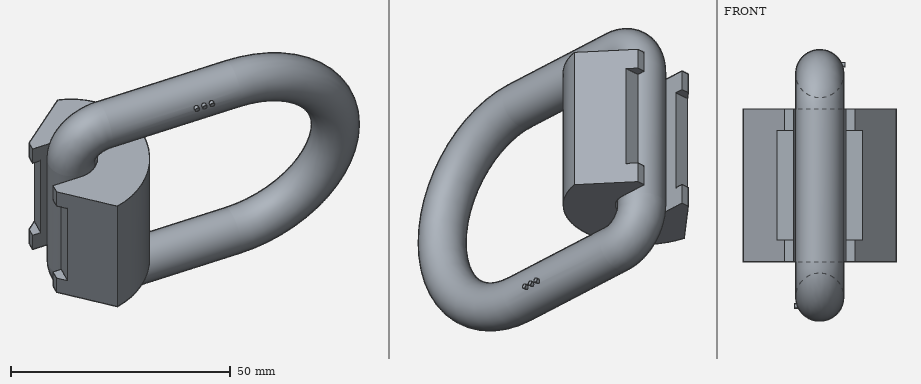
import cadquery as cq
import math


OVERALL_LENGTH = 78.0
LINK_WIDTH = 62.0
BLOCK_SIZE = 34.95

ROD_DIAMETER = 11.0
ROD_RADIUS = ROD_DIAMETER / 2
LEG_OFFSET = (LINK_WIDTH - ROD_DIAMETER) / 2
CORNER_RADIUS = LEG_OFFSET - BLOCK_SIZE / 2

AXIS_HEIGHT = 7.0
OUTER_RADIUS = 17.95
BORE_RADIUS = 6.0
FOOT_HALF_WIDTH = 8.0
RELIEF_LENGTH = 25.0
RELIEF_DEPTH = 2.0

DOT_DIAMETER = 1.1
DOT_PITCH = 1.9
DOT_COUNT = 3
DOT_TOP = 5.8
DOT_LEG_OFFSET = 2.0
DOT_ROW_CENTRE = 30.7

BASE_Y = -AXIS_HEIGHT
LOOP_CENTRE_Y = OVERALL_LENGTH - AXIS_HEIGHT - LINK_WIDTH / 2


def marking_dots(side):
    """Row of raised dots on one leg; side +1 is the +X/+Z leg, -1 the -X/-Z leg."""
    row_z = side * (LEG_OFFSET + DOT_LEG_OFFSET)
    centres = [
        (DOT_ROW_CENTRE + (i - (DOT_COUNT - 1) / 2) * DOT_PITCH, row_z)
        for i in range(DOT_COUNT)
    ]
    return cq.Workplane("YZ").pushPoints(centres).circle(DOT_DIAMETER / 2).extrude(side * DOT_TOP)


def make_link():
    """Closed D-shaped ring of round rod with its dots."""
    hinge_half = LEG_OFFSET - CORNER_RADIUS
    diagonal = CORNER_RADIUS * math.sqrt(0.5)
    corner_mid = (CORNER_RADIUS - diagonal, hinge_half + diagonal)
    centreline = (
        cq.Workplane("YZ")
        .moveTo(0, -hinge_half)
        .lineTo(0, hinge_half)
        .threePointArc(corner_mid, (CORNER_RADIUS, LEG_OFFSET))
        .lineTo(LOOP_CENTRE_Y, LEG_OFFSET)
        .threePointArc((LOOP_CENTRE_Y + LEG_OFFSET, 0), (LOOP_CENTRE_Y, -LEG_OFFSET))
        .lineTo(CORNER_RADIUS, -LEG_OFFSET)
        .threePointArc((corner_mid[0], -corner_mid[1]), (0, -hinge_half))
        .close()
    )
    ring = cq.Workplane("XY", origin=(0, 0, -hinge_half)).circle(ROD_RADIUS).sweep(centreline)
    for side in (1, -1):
        ring = ring.union(marking_dots(side))
    return ring


def make_block():
    """Weld-on block: rounded back, tapered flanks, rod channel and base relief."""
    half_width = BLOCK_SIZE / 2
    shoulder_y = math.sqrt(OUTER_RADIUS**2 - half_width**2)
    body = (
        cq.Workplane("XY")
        .moveTo(-FOOT_HALF_WIDTH, BASE_Y)
        .lineTo(FOOT_HALF_WIDTH, BASE_Y)
        .lineTo(half_width, shoulder_y)
        .threePointArc((0, OUTER_RADIUS), (-half_width, shoulder_y))
        .close()
        .extrude(half_width, both=True)
    )

    channel = (
        cq.Workplane("XY")
        .moveTo(-BORE_RADIUS, BASE_Y)
        .lineTo(BORE_RADIUS, BASE_Y)
        .lineTo(BORE_RADIUS, 0)
        .threePointArc((0, BORE_RADIUS), (-BORE_RADIUS, 0))
        .close()
        .extrude(half_width, both=True)
    )

    relief = cq.Workplane("XY").box(BLOCK_SIZE, RELIEF_DEPTH, RELIEF_LENGTH)
    relief = relief.translate((0, BASE_Y + RELIEF_DEPTH / 2, 0))
    return body.cut(channel).cut(relief)


link = make_link()
block = make_block()
result = cq.Compound.makeCompound([link.solids().val(), block.solids().val()])